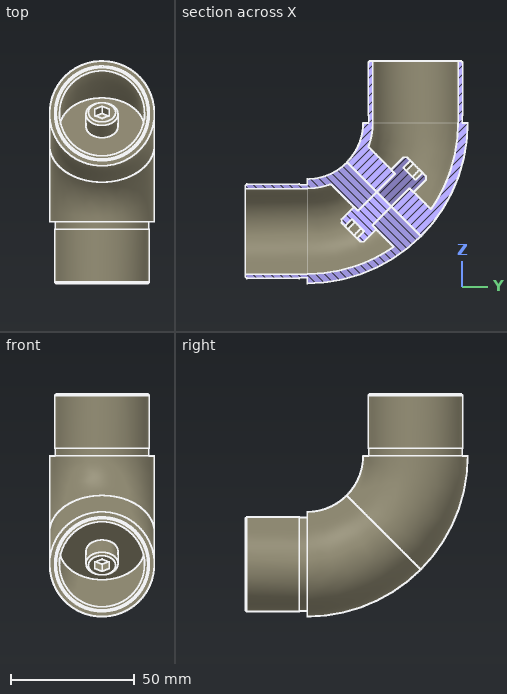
import cadquery as cq
import math


overall = 90.0
elbow_dia = 42.4
bore_dia = 34.4
spigot_dia = 38.3
neck_dia = 37.9
spigot_length = 25.0
neck_length = 3.1
tip_chamfer = 0.7
web_thickness = 10.7
head_dia = 13.0
head_height = 8.0
head_chamfer = 1.0
shank_dia = 8.0
socket_flats = 6.0
socket_depth = 4.05

half_angle = 45.0
bend_radius = overall - spigot_length - elbow_dia / 2
web_zone_size = 2 * elbow_dia

end_face = cq.Workplane("XY", origin=(0, bend_radius, 0))
mitre_offset = bend_radius * math.sin(math.radians(half_angle))
mitre_plane = cq.Plane(origin=(0, mitre_offset, -mitre_offset), xDir=(1, 0, 0), normal=(0, 1, 1))
mitre_face = cq.Workplane(mitre_plane)
web_face = mitre_face.workplane(offset=web_thickness)


def make_bend(diameter):
    """Solid round bend from the +Z end face to the mitre plane."""
    return end_face.circle(diameter / 2).revolve(half_angle, (0, -bend_radius), (-1, -bend_radius))


def make_spigot():
    """Solid neck and chamfered spigot standing on the +Z end face."""
    neck = end_face.circle(neck_dia / 2).extrude(neck_length)
    barrel = (
        end_face.workplane(offset=neck_length)
        .circle(spigot_dia / 2)
        .extrude(spigot_length - neck_length)
        .faces(">Z")
        .chamfer(tip_chamfer)
    )
    return neck.union(barrel)


def make_shank():
    """Round shank that passes through the web."""
    return mitre_face.circle(shank_dia / 2).extrude(web_thickness)


def make_elbow_half():
    """Bend with its spigot, bored down to a web that has a screw hole."""
    web_zone = mitre_face.rect(web_zone_size, web_zone_size).extrude(web_thickness)
    curved_bore = make_bend(bore_dia).cut(web_zone)
    straight_bore = end_face.circle(bore_dia / 2).extrude(spigot_length)
    outside = make_bend(elbow_dia).union(make_spigot())
    return outside.cut(curved_bore).cut(straight_bore).cut(make_shank())


def make_screw():
    """Socket head screw seated on the web, its shank filling the web's hole."""
    outward = cq.selectors.DirectionMinMaxSelector(mitre_plane.zDir)
    head = web_face.circle(head_dia / 2).extrude(head_height)
    head = head.faces(outward).chamfer(head_chamfer)
    socket_across_corners = socket_flats / math.cos(math.pi / 6)
    socket = (
        web_face.workplane(offset=head_height - socket_depth)
        .transformed(rotate=(0, 0, 90))
        .polygon(6, socket_across_corners)
        .extrude(socket_depth)
    )
    return head.union(make_shank()).cut(socket)


def place_on_both_sides(body):
    """Two separate copies, half a turn apart about the bisector of the bend."""
    return [body.rotate((0, 0, 0), (0, 1, -1), turn).val() for turn in (0, 180)]


elbow_halves = place_on_both_sides(make_elbow_half())
screws = place_on_both_sides(make_screw())

result = cq.Compound.makeCompound([*elbow_halves, *screws])